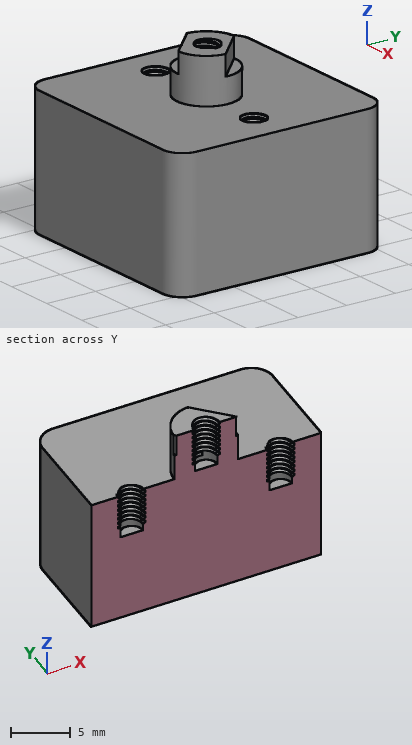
import cadquery as cq
import math

body_side = 21.6
body_height = 12.8
corner_radius = 2.0

shaft_diameter = 6.0
shaft_height = 4.5
flat_height = 2.0
across_flats = 4.0
flat_angle = 45.0
shaft_top = body_height + shaft_height

thread_minor = 2.07
thread_major = 2.57
thread_pitch = 0.45
groove_mouth = 0.9 * thread_pitch
groove_root = 0.05
groove_overlap = 0.05
hole_depth = 4.32
side_hole_offset = 7.0
side_thread_angle = 250.0
shaft_thread_angle = 80.0
drill_seam_lag = -123.0


def make_body():
    """Rounded square block."""
    block = cq.Workplane("XY").rect(body_side, body_side).extrude(body_height)
    return block.edges("|Z").fillet(corner_radius)


def make_shaft():
    """Round stub whose upper end is cut to two parallel flats."""
    lower = cq.Workplane("XY").workplane(offset=body_height)
    stub = lower.circle(shaft_diameter / 2).extrude(shaft_height)
    flat_depth = (shaft_diameter - across_flats) / 2
    flat_centre = (across_flats + flat_depth) / 2
    for side in (-1, 1):
        flat = (
            cq.Workplane("XY")
            .box(flat_depth, shaft_diameter, flat_height)
            .translate((side * flat_centre, 0, shaft_top - flat_height / 2))
            .rotate((0, 0, 0), (0, 0, 1), flat_angle)
        )
        stub = stub.cut(flat)
    return stub


def cut_threaded_hole(part, x, top, exit_angle):
    """Drill a blind hole and cut a helical groove that leaves the top face at exit_angle."""
    drill = cq.Workplane("XY").circle(thread_minor / 2).extrude(hole_depth)
    drill = drill.rotate((0, 0, 0), (0, 0, 1), exit_angle + drill_seam_lag)
    drill = drill.translate((x, 0, top - hole_depth))
    part = part.cut(drill)

    turns = math.floor(hole_depth / thread_pitch)
    inner = thread_minor / 2 - groove_overlap
    helix = cq.Wire.makeHelix(thread_pitch, turns * thread_pitch, inner)
    groove = (
        cq.Workplane("XZ")
        .moveTo(inner, -groove_mouth / 2)
        .lineTo(thread_major / 2, -groove_root / 2)
        .lineTo(thread_major / 2, groove_root / 2)
        .lineTo(inner, groove_mouth / 2)
        .close()
        .sweep(cq.Workplane(obj=helix), isFrenet=True)
        .rotate((0, 0, 0), (0, 0, 1), exit_angle)
        .translate((x, 0, top - (turns - 1) * thread_pitch))
    )
    return part.cut(groove)


result = make_body().union(make_shaft())
result = cut_threaded_hole(result, 0, shaft_top, shaft_thread_angle)
for hole_x in (-side_hole_offset, side_hole_offset):
    result = cut_threaded_hole(result, hole_x, body_height, side_thread_angle)